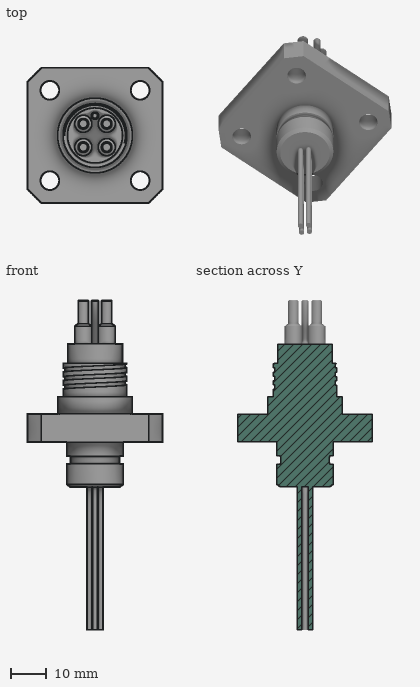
import cadquery as cq
import math

plate_side = 38.1
plate_thickness = 8.0
plate_corner_chamfer = 4.0
mount_hole_diameter = 5.2
mount_hole_spacing = 25.4

collar_diameter = 21.0
collar_height = 4.8
thread_diameter = 18.0
thread_length = 9.5
nose_diameter = 15.5
nose_length = 5.4
nose_top_z = collar_height + thread_length + nose_length

thread_pitch = 2.4
thread_turns = 3
thread_depth = 0.5
thread_groove_width = 1.1
thread_start_above_collar = 2.7

rear_diameter = 15.9
rear_length = 12.6
rear_chamfer_height = 0.7
rear_chamfer_inset = 1.0
seal_groove_diameter = 13.9
seal_groove_width = 2.2
seal_groove_offset = 3.9
seal_groove_fillet = 0.3

pin_spacing = 6.6
pin_base_diameter = 4.8
pin_base_length = 5.75
pin_shoulder_height = 0.7
pin_tip_diameter = 3.0
pin_length = 12.3
key_pin_diameter = 2.0
key_pin_offset = 5.6
tip_chamfer = 0.3

total_length = 92.7
wire_diameter = 1.5
wire_circle_radius = 1.6
wire_length = total_length - nose_top_z - pin_length - plate_thickness - rear_length


def rod(diameter, length, base_z):
    """Vertical cylinder that starts at base_z and rises by length."""
    return cq.Workplane("XY").workplane(offset=base_z).circle(diameter / 2).extrude(length)


def make_plate():
    """Square flange with cut corners and four mounting holes."""
    return (
        cq.Workplane("XY")
        .rect(plate_side, plate_side)
        .extrude(-plate_thickness)
        .edges("|Z")
        .chamfer(plate_corner_chamfer)
        .faces(">Z")
        .workplane()
        .rect(mount_hole_spacing, mount_hole_spacing, forConstruction=True)
        .vertices()
        .hole(mount_hole_diameter)
    )


def make_front_body():
    """Collar, thread blank and nose stacked on the plate."""
    collar = rod(collar_diameter, collar_height, 0)
    thread_blank = rod(thread_diameter, thread_length, collar_height)
    thread_blank = thread_blank.rotate((0, 0, 0), (0, 0, 1), 90)
    nose = rod(nose_diameter, nose_length, collar_height + thread_length)
    for cutter in make_thread_cutters():
        thread_blank = thread_blank.cut(cutter)
    return collar.union(thread_blank).union(nose)


def make_thread_cutters():
    """Square-sided right-hand groove starting on the -X side, and its straight tangential run-out."""
    root_radius = thread_diameter / 2 - thread_depth
    cutter_depth = 2 * thread_depth
    start_z = collar_height + thread_start_above_collar
    helix = cq.Wire.makeHelix(thread_pitch, thread_pitch * thread_turns, root_radius)
    profile = cq.Sketch().rect(cutter_depth, thread_groove_width)
    start_plane = cq.Workplane("XZ", origin=(root_radius + cutter_depth / 2, 0, 0))
    groove = start_plane.placeSketch(profile).sweep(cq.Workplane(obj=helix), isFrenet=True)
    run_out_length = math.sqrt((thread_diameter / 2) ** 2 - root_radius**2)
    run_out = start_plane.placeSketch(profile).extrude(run_out_length)
    return [
        cutter.rotate((0, 0, 0), (0, 0, 1), 180).translate((0, 0, start_z))
        for cutter in (groove, run_out)
    ]


def make_rear_body():
    """Plug below the plate with a chamfered end and a seal groove."""
    bottom_z = -plate_thickness - rear_length
    body = rod(rear_diameter, rear_length, bottom_z)
    body = body.faces("<Z").chamfer(rear_chamfer_height, rear_chamfer_inset)
    groove_bottom_z = -plate_thickness - seal_groove_offset - seal_groove_width
    core = rod(seal_groove_diameter, seal_groove_width, groove_bottom_z)
    ring_outer_diameter = 2 * rear_diameter - seal_groove_diameter
    ring = rod(ring_outer_diameter, seal_groove_width, groove_bottom_z).cut(core)
    inner_edges = cq.selectors.RadiusNthSelector(0)
    return body.cut(ring.edges(inner_edges).fillet(seal_groove_fillet))


def make_contact_pin():
    """Stepped pin: base with a conical shoulder and slimmer chamfered tip."""
    base = rod(pin_base_diameter, pin_base_length - pin_shoulder_height, nose_top_z)
    shoulder = (
        base.faces(">Z")
        .workplane()
        .circle(pin_base_diameter / 2)
        .workplane(offset=pin_shoulder_height)
        .circle(pin_tip_diameter / 2)
        .loft(combine=False)
    )
    tip = rod(pin_tip_diameter, pin_length, nose_top_z).faces(">Z").chamfer(tip_chamfer)
    return base.union(shoulder).union(tip)


result = make_plate().union(make_front_body()).union(make_rear_body())

contact_pin = make_contact_pin()
for x_side in (-1, 1):
    for y_side in (-1, 1):
        pin_position = (x_side * pin_spacing / 2, y_side * pin_spacing / 2, 0)
        result = result.union(contact_pin.translate(pin_position))

key_pin = rod(key_pin_diameter, pin_length, nose_top_z).faces(">Z").chamfer(tip_chamfer)
result = result.union(key_pin.translate((0, key_pin_offset, 0)))

wire = rod(wire_diameter, -wire_length, -plate_thickness - rear_length)
for quarter in range(4):
    placed_wire = wire.translate((wire_circle_radius, 0, 0)).rotate((0, 0, 0), (0, 0, 1), 90 * quarter)
    result = result.union(placed_wire)